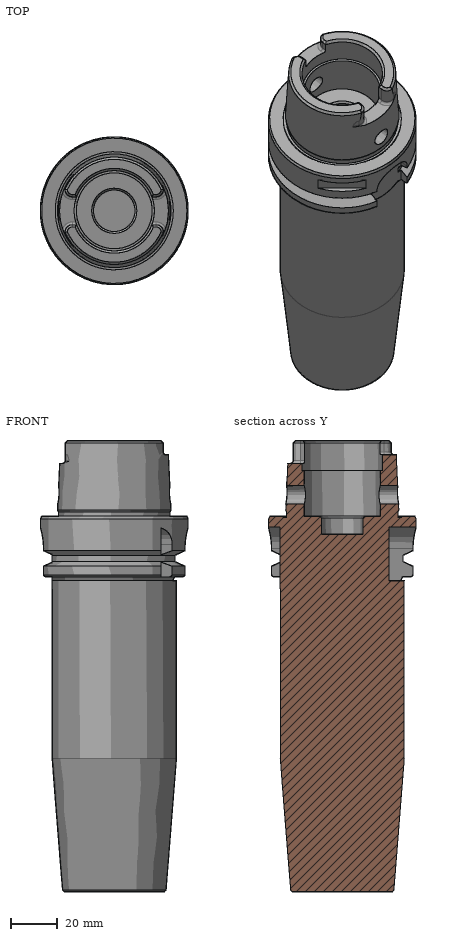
import cadquery as cq
import math


total_height = 192.0
shank_length = 32.0
flange_height = 26.0
flange_radius = 31.5
face_z = total_height - shank_length
rim_z = face_z - flange_height

body_radius = 26.5
nose_radius = 22.0
nose_height = 56.6
nose_chamfer = 0.8
collar_radius = 27.3
collar_height = 1.5

flange_top_chamfer = 1.2
flange_top_chamfer_inset = 0.5
flange_bottom_chamfer = 0.8
groove_center_z = face_z - 18.0
groove_floor_radius = 27.5
groove_floor_width = 2.7
groove_bevel_angle = 26.0

shank_top_radius = 22.8
shank_bottom_radius = 24.2
neck_radius = 23.8
neck_top_height = 2.5
neck_bottom_height = 1.7
face_relief_radius = 25.2
face_relief_depth = 0.5
lip_chamfer = 1.0

entry_radius = 17.0
entry_depth = 12.7
bore_radius = 16.1
bore_depth = shank_length
center_hole_radius = 8.8
center_hole_depth = 7.7
center_hole_chamfer = 0.8

slot_half_width = 6.0
slot_round = 3.0
slot_round_x = 17.9
slot_flare_angle = 28.0
slot_flare_length = 6.7
slot_floor_fillet = 1.2
deep_slot_depth = 9.6
shallow_slot_depth = 6.0

cross_hole_radius = 3.8
cross_hole_z = total_height - 23.0

keyway_radius = 9.0
keyway_top_depth = 4.8
near_keyway_floor = body_radius
far_keyway_floor = 20.0
notch_radius = 7.5
notch_y = -27.0
notch_top_depth = 4.6
mark_flat_direction = 135.0
mark_flat_distance = 29.8
mark_flat_height = 5.8
mark_flat_depth = 7.1


def turned_body():
    """Revolve the outer profile of the body, flange and shank."""
    half_floor = groove_floor_width / 2
    bevel_height = (flange_radius - groove_floor_radius) * math.tan(math.radians(groove_bevel_angle))
    half_mouth = half_floor + bevel_height
    profile = [
        (0, 0),
        (nose_radius - nose_chamfer, 0),
        (nose_radius, nose_chamfer),
        (body_radius, nose_height),
        (body_radius, rim_z - collar_height),
        (collar_radius, rim_z),
        (flange_radius - flange_bottom_chamfer, rim_z),
        (flange_radius, rim_z + flange_bottom_chamfer),
        (flange_radius, groove_center_z - half_mouth),
        (groove_floor_radius, groove_center_z - half_floor),
        (groove_floor_radius, groove_center_z + half_floor),
        (flange_radius, groove_center_z + half_mouth),
        (flange_radius, face_z - flange_top_chamfer),
        (flange_radius - flange_top_chamfer_inset, face_z),
        (face_relief_radius, face_z),
        (face_relief_radius, face_z - face_relief_depth),
        (neck_radius, face_z - face_relief_depth),
        (neck_radius, face_z + neck_bottom_height),
        (shank_bottom_radius, face_z + neck_top_height),
        (shank_top_radius, total_height - lip_chamfer),
        (shank_top_radius - lip_chamfer, total_height),
        (0, total_height),
    ]
    return cq.Workplane("XZ").polyline(profile).close().revolve(360, (0, 0, 0), (0, 1, 0))


def stepped_bore():
    """Bore with a wider entry and a chamfered hole in its floor."""
    floor_z = total_height - bore_depth
    step_z = total_height - entry_depth
    profile = [
        (0, floor_z - center_hole_depth),
        (center_hole_radius, floor_z - center_hole_depth),
        (center_hole_radius, floor_z - center_hole_chamfer),
        (center_hole_radius + center_hole_chamfer, floor_z),
        (bore_radius, floor_z),
        (bore_radius, step_z),
        (entry_radius, step_z),
        (entry_radius, total_height - lip_chamfer),
        (entry_radius + lip_chamfer, total_height),
        (0, total_height),
    ]
    return cq.Workplane("XZ").polyline(profile).close().revolve(360, (0, 0, 0), (0, 1, 0))


def slot_outline(plane_z):
    """Outline of the +X drive slot, with corners that round outward."""
    round_y = slot_half_width + slot_round
    flare = math.radians(slot_flare_angle)
    end_x = slot_round_x + slot_round * math.cos(flare)
    end_y = round_y + slot_round * math.sin(flare)
    tip_x = end_x - slot_flare_length * math.sin(flare)
    tip_y = end_y + slot_flare_length * math.cos(flare)
    mid_x = slot_round_x + slot_round
    return (
        cq.Workplane("XY", origin=(0, 0, plane_z))
        .moveTo(0, -slot_half_width)
        .lineTo(slot_round_x, -slot_half_width)
        .threePointArc((mid_x, -round_y), (end_x, -end_y))
        .lineTo(tip_x, -tip_y)
        .lineTo(flange_radius, -tip_y)
        .lineTo(flange_radius, tip_y)
        .lineTo(tip_x, tip_y)
        .lineTo(end_x, end_y)
        .threePointArc((mid_x, round_y), (slot_round_x, slot_half_width))
        .lineTo(0, slot_half_width)
        .close()
    )


def drive_slot(depth):
    """Slot on the +X side with a filleted floor and a 45 degree chamfer along its rim."""
    slot = slot_outline(total_height - depth).extrude(depth)
    slot = slot.faces("<Z").edges().fillet(slot_floor_fillet)
    rim = slot_outline(total_height - lip_chamfer).extrude(lip_chamfer, taper=-45)
    return slot.union(rim)


def round_top_keyway(floor_x, center_y, radius, top_depth):
    """Keyway cut from +X down to floor_x, round at the top and open at the bottom."""
    center_z = face_z - top_depth - radius
    bottom_z = rim_z - collar_height
    length = flange_radius
    arch = (
        cq.Workplane("YZ", origin=(floor_x, center_y, center_z))
        .circle(radius)
        .extrude(length)
    )
    channel = (
        cq.Workplane("YZ", origin=(floor_x, center_y, (center_z + bottom_z) / 2))
        .rect(2 * radius, center_z - bottom_z)
        .extrude(length)
    )
    return arch.union(channel)


def opposite(tool):
    """Turn a +X tool round to the -X side."""
    return tool.rotate((0, 0, 0), (0, 0, 1), 180)


def mark_flat():
    """Flat across the flange edge, midway between -X and +Y."""
    thickness = flange_radius
    block = cq.Workplane("XY").box(thickness, 2 * flange_radius, mark_flat_height)
    block = block.translate((mark_flat_distance + thickness / 2, 0, face_z - mark_flat_depth))
    return block.rotate((0, 0, 0), (0, 0, 1), mark_flat_direction)


holder = turned_body().cut(stepped_bore())
holder = holder.cut(opposite(drive_slot(deep_slot_depth)))
holder = holder.cut(drive_slot(shallow_slot_depth))
cross_hole = (
    cq.Workplane("YZ", origin=(0, 0, cross_hole_z))
    .circle(cross_hole_radius)
    .extrude(flange_radius, both=True)
)
holder = holder.cut(cross_hole)

holder = holder.cut(opposite(round_top_keyway(near_keyway_floor, 0, keyway_radius, keyway_top_depth)))
holder = holder.cut(round_top_keyway(far_keyway_floor, 0, keyway_radius, keyway_top_depth))
holder = holder.cut(round_top_keyway(far_keyway_floor, notch_y, notch_radius, notch_top_depth))
result = holder.cut(mark_flat())